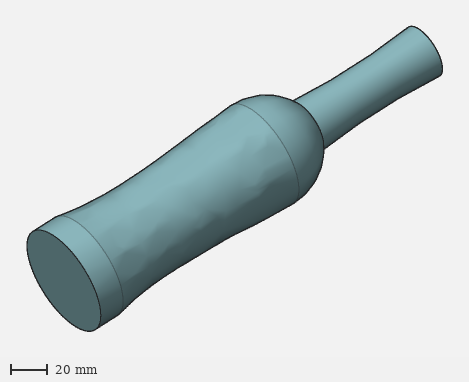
import cadquery as cq

total_length = 254.0
base_height = 15.7
shoulder_start = 139.7
neck_start = 170.2

body_radius = 31.8
neck_radius = body_radius / 2

lower_waist_radius = 28.2
lower_waist_height = 43.2
upper_waist_radius = 28.0
upper_waist_height = 76.2

dome_radius = 25.7
dome_height = 160.5

neck_waist_radius = 14.0
neck_middle = (neck_start + total_length) / 2

profile = (
    cq.Workplane("XY")
    .lineTo(body_radius, 0)
    .lineTo(body_radius, base_height)
    .spline(
        [
            (lower_waist_radius, lower_waist_height),
            (upper_waist_radius, upper_waist_height),
            (body_radius, shoulder_start),
        ],
        includeCurrent=True,
    )
    .threePointArc((dome_radius, dome_height), (neck_radius, neck_start))
    .threePointArc((neck_waist_radius, neck_middle), (neck_radius, total_length))
    .lineTo(0, total_length)
    .close()
)

result = profile.revolve(360, (0, 0, 0), (0, 1, 0))